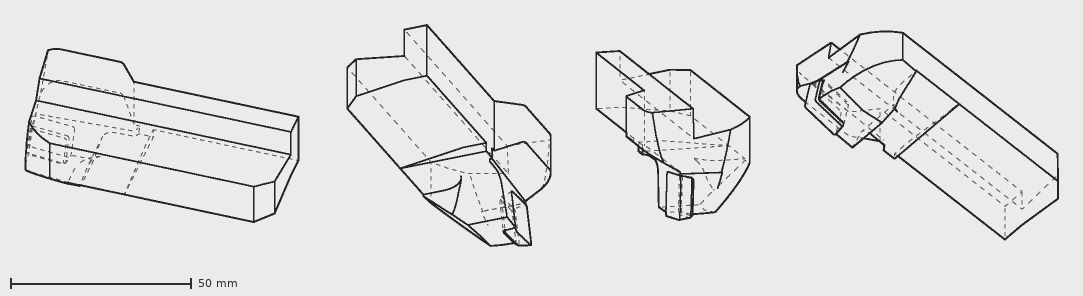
import cadquery as cq
import math


end_x = 78.47
front_y = -19.1
head_back_y = 13.7
shank_back_y = 6.85
head_left_x = 2.15
head_corner_radius = 5.0
knee_x = 30.4
back_wall_run = 5.5
knee_radius = 2.0
end_chamfer = 4.6
nose_tip = (1.45, 0.0)
nose_middle = (5.5, -10.9)
nose_end = (14.25, front_y)

shank_bottom_z = -18.65
shelf_front_z = -5.65
shelf_root_z = -8.3
underside_start_x = 36.0
foot_overlap = 1.0

foot_bottom_z = -30.75
foot_left_x = 1.0
foot_heel_x = 18.95
foot_flat_start_x = 12.3
foot_toe_rise = 1.75
foot_back_angle = 15.5
foot_fillet_radius = 4.0
foot_end_x = 26.0
foot_chamfer_drop = 0.885
foot_chamfer_lean = 0.09
side_notch_x = 19.45
side_notch_back_y = -5.0
side_notch_radius = 8.0

tilt = 7.0
end_face_x = 5.06
relief_depth = 0.12
relief_edge_z = -17.95
relief_edge_slope = 0.057
gullet_root = (4.4, -17.25)
gullet_roof_slope = 0.629
gullet_end_radius = 2.0
gullet_end_gap = 2.5

insert_size = 12.4
insert_corner_radius = 0.8
insert_flank_depth = 3.4
insert_flank_angle = 9.5
insert_back_depth = 0.7
insert_back_width = 0.5
rake_tilt = 4.0
rake_turn = 1.8
insert_corner_x = -0.09
insert_corner_z = -30.32

far = 60.0
lean = math.tan(math.radians(tilt))
rake_normal = (-math.tan(math.radians(rake_turn)), 1, math.tan(math.radians(rake_tilt)))


def half_space(point, normal):
    """Large block on the side of a plane that the normal points to."""
    along = (normal[2], 0, -normal[0]) if abs(normal[1]) < 1 else (1, 0, 0)
    across = cq.Vector(*normal).cross(cq.Vector(*along))
    plane = cq.Plane(origin=point, xDir=across.toTuple(), normal=normal)
    return cq.Workplane(plane).rect(4 * far, 4 * far).extrude(2 * far)


def make_plan_block(bottom_z, left_x):
    """Vertical block with the plan outline, from the top face down to bottom_z."""
    block = (
        cq.Workplane("XY")
        .moveTo(left_x, head_back_y)
        .lineTo(knee_x - back_wall_run, head_back_y)
        .lineTo(knee_x, shank_back_y)
        .lineTo(end_x, shank_back_y)
        .lineTo(end_x, front_y + end_chamfer)
        .lineTo(end_x - end_chamfer, front_y)
        .lineTo(*nose_end)
        .threePointArc(nose_middle, nose_tip)
        .lineTo(left_x, nose_tip[1])
        .close()
        .extrude(bottom_z)
    )
    block = block.edges(cq.selectors.NearestToPointSelector((left_x, head_back_y, bottom_z / 2)))
    block = block.fillet(head_corner_radius)
    block = block.edges(
        cq.selectors.NearestToPointSelector((knee_x - back_wall_run, head_back_y, bottom_z / 2))
    )
    return block.fillet(knee_radius)


def make_shelf_cut():
    """Sloped shelf along the front half of the top."""
    return (
        cq.Workplane("YZ")
        .polyline([(0, 0), (0, shelf_root_z), (front_y, shelf_front_z), (front_y, 0)])
        .close()
        .extrude(end_x)
    )


def make_underside_cut():
    """Underside of the shank, sloped like the shelf and level from y = 0 to the back."""
    root_z = shank_bottom_z + shelf_front_z - shelf_root_z
    return (
        cq.Workplane("YZ", origin=(underside_start_x, 0, 0))
        .polyline([
            (front_y, shank_bottom_z),
            (0, root_z),
            (shank_back_y, root_z),
            (shank_back_y, shank_bottom_z),
        ])
        .close()
        .extrude(end_x - underside_start_x)
    )


def make_foot():
    """Block below the head with a sloped, filleted rear wall and a chamfered front."""
    root_x = foot_heel_x + (shank_bottom_z - foot_bottom_z) * math.tan(math.radians(foot_back_angle))
    toe_z = foot_bottom_z + foot_toe_rise
    foot_top_z = shank_bottom_z + foot_overlap
    foot = (
        cq.Workplane("XZ", origin=(0, front_y, 0))
        .polyline([
            (0, foot_top_z),
            (0, toe_z),
            (foot_flat_start_x, foot_bottom_z),
            (foot_heel_x, foot_bottom_z),
            (root_x, shank_bottom_z),
            (foot_end_x, shank_bottom_z),
            (foot_end_x, foot_top_z),
        ])
        .close()
        .extrude(front_y - shank_back_y)
    )
    foot = foot.edges(cq.selectors.NearestToPointSelector((root_x, 0, shank_bottom_z)))
    foot = foot.fillet(foot_fillet_radius)
    chamfer_edge = (nose_end[0], front_y, shank_bottom_z)
    chamfer = half_space(chamfer_edge, (-foot_chamfer_lean, -foot_chamfer_drop, -1))
    return foot.cut(chamfer).cut(make_side_notch())


def make_side_notch():
    """Notch in the rear of the foot, with a vertical rounded inner corner."""
    length = far - side_notch_x
    depth = side_notch_back_y - front_y
    notch = (
        cq.Workplane("XY", origin=(side_notch_x, front_y, shank_bottom_z))
        .rect(length, depth, centered=False)
        .extrude(foot_bottom_z - shank_bottom_z)
    )
    inner_corner = cq.selectors.NearestToPointSelector((side_notch_x, side_notch_back_y, foot_bottom_z / 2))
    return notch.edges("|Z").edges(inner_corner).fillet(side_notch_radius)


def make_gullet():
    """Chip space behind the rake face, ending on a wall parallel to the head's sloped back wall."""
    root = (0, *gullet_root)
    below_roof = half_space(root, (0, gullet_roof_slope, -1))
    behind_rake = half_space(root, rake_normal)
    gullet = below_roof.intersect(behind_rake)
    wall_normal = (head_back_y - shank_back_y, back_wall_run, 0)
    gullet = gullet.cut(half_space((knee_x + gullet_end_gap, shank_back_y, 0), wall_normal))
    end_corner = cq.selectors.NearestToPointSelector((knee_x + gullet_end_gap, shank_back_y, -far))
    return gullet.edges(end_corner).fillet(gullet_end_radius)


def make_end_face_cut():
    """Leaning end face, with a slight relief beside the insert."""
    outward = (-1, -lean, lean)
    end_cut = half_space((end_face_x, 0, 0), outward)
    relief = half_space((end_face_x + relief_depth, 0, 0), outward)
    below_edge = half_space((0, 0, relief_edge_z), (0, relief_edge_slope, -1))
    return end_cut, relief.intersect(below_edge)


def make_insert():
    """Square insert with relieved flanks and a bevelled back."""
    turn = math.radians(tilt)
    edge = cq.Vector(math.cos(turn), 0, -math.sin(turn))
    normal = cq.Vector(*rake_normal)
    edge_on_rake = edge - normal * (edge.dot(normal) / normal.dot(normal))
    root_y, root_z = gullet_root
    corner_y = root_y - rake_normal[0] * insert_corner_x - rake_normal[2] * (insert_corner_z - root_z)
    corner = (insert_corner_x, corner_y, insert_corner_z)
    rake = cq.Plane(origin=corner, xDir=edge_on_rake.toTuple(), normal=normal.multiply(-1).toTuple())
    flank_inset = insert_flank_depth * math.tan(math.radians(insert_flank_angle))
    levels = [
        (0, 0),
        (insert_flank_depth, flank_inset),
        (insert_flank_depth + insert_back_depth, flank_inset + insert_back_width),
    ]

    def section(depth, inset):
        side = insert_size - 2 * inset
        square = cq.Sketch().rect(side, side).vertices().fillet(insert_corner_radius)
        return square.moved(cq.Location(cq.Vector(0, 0, depth)))

    def layer(lower, upper):
        centred = cq.Workplane(rake).center(insert_size / 2, insert_size / 2)
        return centred.placeSketch(section(*lower), section(*upper)).loft()

    return layer(levels[0], levels[1]).union(layer(levels[1], levels[2]))


def make_holder(insert):
    end_cut, relief = make_end_face_cut()
    holder = make_plan_block(shank_bottom_z, head_left_x).cut(make_shelf_cut()).cut(make_underside_cut())
    foot = make_foot().intersect(make_plan_block(foot_bottom_z, foot_left_x))
    holder = holder.union(foot)
    return holder.cut(make_gullet()).cut(end_cut).cut(relief).cut(insert)


insert = make_insert()
holder = make_holder(insert)
result = cq.Compound.makeCompound([holder.val(), insert.val()])